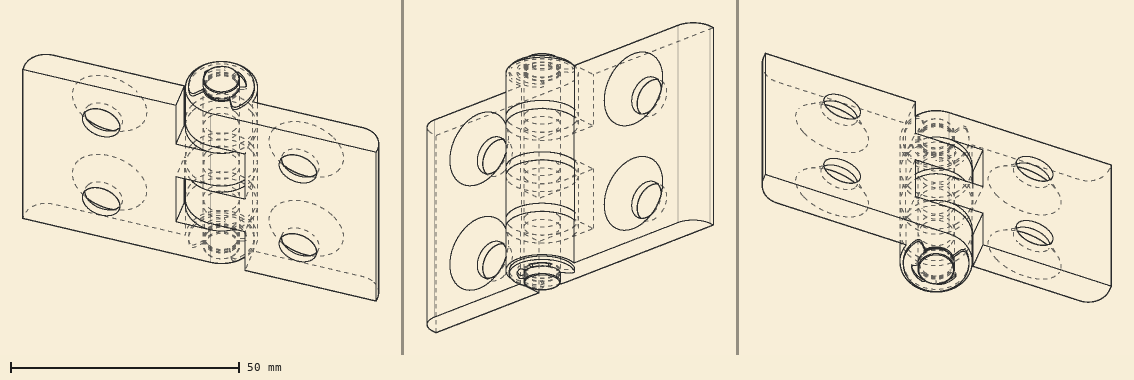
import cadquery as cq
import math


knuckle_radius = 7.925
knuckle_length = 10.5
washer_thickness = 2.0
knuckles_per_leaf = 2
knuckle_count = 2 * knuckles_per_leaf
stack_pitch = knuckle_length + washer_thickness
hinge_height = knuckle_count * knuckle_length + (knuckle_count - 1) * washer_thickness
hinge_bottom = -hinge_height / 2

leaf_thickness = 6.1
left_leaf_reach = 43.1
right_leaf_reach = 38.05
edge_round_radius = 5.0
leaf_front = -knuckle_radius
leaf_back = leaf_front + leaf_thickness

screw_hole_diameter = 8.6
screw_hole_spacing = 25.4
screw_hole_edge_distance = 18.0
countersink_depth = 4.25
countersink_angle = 90.0

pin_radius = 4.0
pin_length = 53.8
pin_chamfer = 0.2
groove_radius = 3.7

clip_thickness = 0.8
clip_radius = 7.2
clip_rotation = -6.5
clip_mouth_half_angle = 34.0
clip_mouth_apex = 2.1
clip_tip_round = 0.8
clip_window_radius = 5.45
clip_window_start = 14.0
clip_window_end = 71.0
clip_window_round = 0.5
clip_bottoms = (hinge_bottom - clip_thickness, hinge_bottom + hinge_height)


def knuckle_bottom(position):
    """Height of the lower end of a knuckle, counted from the bottom of the hinge."""
    return hinge_bottom + position * stack_pitch


def cylinder(radius, bottom, length):
    """Solid cylinder on the pin axis, standing on the given height."""
    return cq.Workplane("XY").workplane(offset=bottom).circle(radius).extrude(length)


def screw_hole(x, z):
    """Cutter for one screw hole: a through cylinder and a cone that widens to the back face."""
    hole_radius = screw_hole_diameter / 2
    sink_radius = hole_radius + countersink_depth * math.tan(math.radians(countersink_angle / 2))
    half_profile = [
        (0, leaf_front),
        (hole_radius, leaf_front),
        (hole_radius, leaf_back - countersink_depth),
        (sink_radius, leaf_back),
        (0, leaf_back),
    ]
    cutter = cq.Workplane("XY").polyline(half_profile).close().revolve(360, (0, 0), (0, 1))
    return cutter.translate((x, 0, z))


def make_leaf(reach, side, first_knuckle):
    """Leaf that reaches toward side * X and owns every second knuckle from first_knuckle up."""
    plate_width = reach - knuckle_radius
    plate = (
        cq.Workplane("XY")
        .box(plate_width, leaf_thickness, hinge_height)
        .translate((side * (knuckle_radius + plate_width / 2), leaf_front + leaf_thickness / 2, 0))
    )
    outer_edge = ">X and >Y" if side > 0 else "<X and >Y"
    leaf = plate.edges(outer_edge).fillet(edge_round_radius)

    for position in range(first_knuckle, knuckle_count, 2):
        bottom = knuckle_bottom(position)
        web = (
            cq.Workplane("XY")
            .box(knuckle_radius, leaf_thickness, knuckle_length, centered=(True, False, False))
            .translate((side * knuckle_radius / 2, leaf_front, bottom))
        )
        leaf = leaf.union(web).union(cylinder(knuckle_radius, bottom, knuckle_length))

    leaf = leaf.cut(cylinder(pin_radius, hinge_bottom, hinge_height))
    for z in (-screw_hole_spacing / 2, screw_hole_spacing / 2):
        leaf = leaf.cut(screw_hole(side * (reach - screw_hole_edge_distance), z))
    return leaf


def make_washer(position):
    """Washer on top of the knuckle at the given position."""
    bottom = knuckle_bottom(position) + knuckle_length
    disc = cylinder(knuckle_radius, bottom, washer_thickness)
    return disc.cut(cylinder(pin_radius, bottom, washer_thickness))


def make_pin():
    """Pin with chamfered ends and a groove just outside each end of the hinge."""
    pin = cylinder(pin_radius, -pin_length / 2, pin_length)
    pin = pin.faces("<Z or >Z").chamfer(pin_chamfer)
    for bottom in clip_bottoms:
        core = cylinder(groove_radius, bottom, clip_thickness)
        groove = cylinder(pin_radius, bottom, clip_thickness).cut(core)
        pin = pin.cut(groove)
    return pin


def polar(radius, angle):
    """Point at the given radius and angle in degrees."""
    return (radius * math.cos(math.radians(angle)), radius * math.sin(math.radians(angle)))


def clip_window(start_angle, end_angle):
    """Cutter for the slot between two gripping tabs: a rounded sector from the pin axis outward."""
    sector = (
        cq.Workplane("XY")
        .lineTo(*polar(clip_window_radius, start_angle))
        .threePointArc(
            polar(clip_window_radius, (start_angle + end_angle) / 2),
            polar(clip_window_radius, end_angle),
        )
        .close()
        .extrude(clip_thickness)
    )
    return sector.edges("|Z").fillet(clip_window_round)


def make_clip(bottom):
    """E-clip with its mouth toward -Y and its middle tab toward +Y, turned about the pin."""
    mouth_bottom = -2 * clip_radius
    mouth_half_width = (clip_mouth_apex - mouth_bottom) * math.tan(math.radians(clip_mouth_half_angle))
    mouth = (
        cq.Workplane("XY")
        .polyline([(0, clip_mouth_apex), (-mouth_half_width, mouth_bottom), (mouth_half_width, mouth_bottom)])
        .close()
        .extrude(clip_thickness)
    )
    clip = cylinder(clip_radius, 0, clip_thickness).cut(mouth)
    clip = clip.edges("|Z and <Y").fillet(clip_tip_round)
    clip = clip.cut(cylinder(groove_radius, 0, clip_thickness))

    middle_tab_angle = 90
    clip = clip.cut(clip_window(middle_tab_angle + clip_window_start, middle_tab_angle + clip_window_end))
    clip = clip.cut(clip_window(middle_tab_angle - clip_window_end, middle_tab_angle - clip_window_start))
    return clip.rotate((0, 0, 0), (0, 0, 1), clip_rotation).translate((0, 0, bottom))


left_leaf = make_leaf(left_leaf_reach, side=-1, first_knuckle=0)
right_leaf = make_leaf(right_leaf_reach, side=1, first_knuckle=1)
washers = [make_washer(position) for position in range(knuckle_count - 1)]
pin = make_pin()
clips = [make_clip(bottom) for bottom in clip_bottoms]

result = cq.Compound.makeCompound(
    [
        left_leaf.val(),
        right_leaf.val(),
        pin.val(),
        *[washer.val() for washer in washers],
        *[clip.val() for clip in clips],
    ]
)